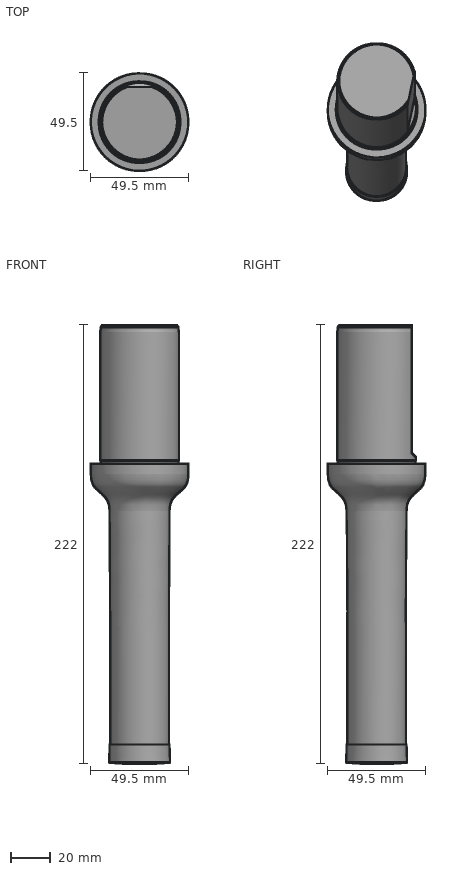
import cadquery as cq

total_length = 222.0
shank_length = 70.0
flange_top = total_length - shank_length
flange_rim_height = 5.4
flange_bottom = flange_top - flange_rim_height
neck_top = 128.0
taper_top = 123.0
taper_bottom = 69.6
flare_top = 10.0
flare_bottom = 1.1
rim_bottom = 0.6

shank_radius = 39.99 / 2
relief_radius = 39.5 / 2
flange_radius = 49.5 / 2
neck_radius = 30.46 / 2
body_radius = 29.8 / 2
head_radius = 30.46 / 2
rim_radius = 31.0 / 2
rim_chamfer = 0.3
end_face_radius = 6.0

flare_share = 0.4

blend_fullness = 0.58

top_chamfer_width = 0.85
top_chamfer_height = 1.1
top_relief_length = 2.2
top_lead_length = 3.5

undercut_radius = 20.7
undercut_fillet = 0.6
undercut_floor = flange_top - 0.2
relief_top = flange_top + 1.3
relief_lead_top = flange_top + 1.9

flat_offset = 17.8
flat_depth = shank_radius - flat_offset
flat_runout_bottom = flange_top + 3.2
flat_runout_top = flat_runout_bottom + flat_depth


def make_holder():
    """Holder: shank, flange, blended neck and slender body down to the cutting head."""
    blend_handle = blend_fullness * (flange_bottom - neck_top)
    profile = (
        cq.Workplane("XZ")
        .moveTo(0, flare_top)
        .lineTo(body_radius, flare_top)
        .lineTo(body_radius, taper_bottom)
        .lineTo(neck_radius, taper_top)
        .lineTo(neck_radius, neck_top)
        .bezier(
            [
                (neck_radius, neck_top),
                (neck_radius, neck_top + blend_handle),
                (flange_radius, flange_bottom - blend_handle),
                (flange_radius, flange_bottom),
            ]
        )
        .lineTo(flange_radius, flange_top)
        .lineTo(undercut_radius, flange_top)
        .lineTo(relief_radius + undercut_fillet, undercut_floor)
        .radiusArc((relief_radius, undercut_floor + undercut_fillet), undercut_fillet)
        .lineTo(relief_radius, relief_top)
        .lineTo(shank_radius, relief_lead_top)
        .lineTo(shank_radius, total_length - top_lead_length)
        .lineTo(relief_radius, total_length - top_relief_length)
        .lineTo(relief_radius, total_length - top_chamfer_height)
        .lineTo(relief_radius - top_chamfer_width, total_length)
        .lineTo(0, total_length)
        .close()
    )
    return profile.revolve(360, (0, 0, 0), (0, 1, 0)).cut(make_flat_cutter())


def make_flat_cutter():
    """Material outside the shank flat, ending below in a 45 degree run-out."""
    return (
        cq.Workplane("YZ")
        .moveTo(flat_offset, total_length)
        .lineTo(flat_offset, flat_runout_top)
        .lineTo(shank_radius, flat_runout_bottom)
        .lineTo(shank_radius, total_length)
        .close()
        .extrude(shank_radius, both=True)
    )


def make_cutting_head():
    """Cutting head: slightly proud of the body, flaring to its rim, with a shallow conical end."""
    flare_step = rim_radius - head_radius
    flare_middle = (head_radius + flare_share * flare_step, (flare_top + flare_bottom) / 2)
    profile = (
        cq.Workplane("XZ")
        .moveTo(0, flare_top)
        .lineTo(head_radius, flare_top)
        .threePointArc(flare_middle, (rim_radius, flare_bottom))
        .lineTo(rim_radius - rim_chamfer, rim_bottom)
        .lineTo(end_face_radius, 0)
        .lineTo(0, 0)
        .close()
    )
    return profile.revolve(360, (0, 0, 0), (0, 1, 0))


holder = make_holder()
cutting_head = make_cutting_head()
result = cq.Compound.makeCompound([holder.val(), cutting_head.val()])